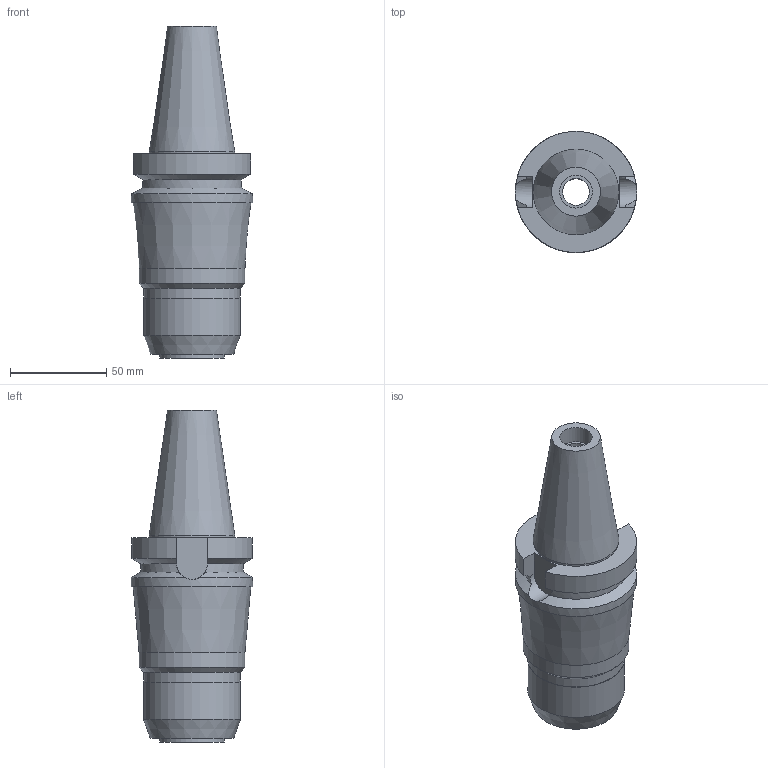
import cadquery as cq
import math


gauge_diameter = 44.45
taper_length = 65.4
taper_ratio = 7 / 24
gauge_radius = gauge_diameter / 2
taper_tip_radius = gauge_radius - taper_length * taper_ratio / 2

flange_radius = 63.0 / 2
flange_top = -1.0
flange_bottom = -26.5
groove_center = -16.6
groove_width = 10.0
groove_floor_radius = 53.4 / 2
groove_flank_angle = 30.0
groove_top = groove_center + groove_width / 2
groove_bottom = groove_center - groove_width / 2
groove_flank_height = (flange_radius - groove_floor_radius) * math.tan(math.radians(groove_flank_angle))

slot_width = 16.1
slot_floor_distance = 22.6
slot_end = -22.6
slot_radius = slot_width / 2

body_top_radius = 61.1 / 2
body_radius = 55.0 / 2
flare_bottom = -60.4
body_bottom = -68.1
shoulder_bottom = -70.8

neck_radius = 49.9 / 2
neck_bottom = -75.9

nose_radius = 50.3 / 2
nose_cone_top = -95.2
nose_tip_radius = 43.4 / 2
end_ring_radius = 33.6 / 2
end_ring_length = 2.0
part_bottom = -107.0
nose_bottom = part_bottom + end_ring_length

bore_diameter = 14.0
counterbore_diameter = 17.0
counterbore_depth = 9.0


def make_turned_body():
    """Revolve the outer profile, drawn from the taper tip down to the end ring."""
    profile = (
        cq.Workplane("YZ")
        .moveTo(0, taper_length)
        .lineTo(taper_tip_radius, taper_length)
        .lineTo(gauge_radius, 0)
        .lineTo(gauge_radius, flange_top)
        .lineTo(flange_radius, flange_top)
        .lineTo(flange_radius, groove_top)
        .lineTo(groove_floor_radius, groove_top - groove_flank_height)
        .lineTo(groove_floor_radius, groove_bottom + groove_flank_height)
        .lineTo(flange_radius, groove_bottom)
        .lineTo(flange_radius, flange_bottom)
        .lineTo(body_top_radius, flange_bottom)
        .lineTo(body_radius, flare_bottom)
        .lineTo(body_radius, body_bottom)
        .lineTo(neck_radius, shoulder_bottom)
        .lineTo(neck_radius, neck_bottom)
        .lineTo(nose_radius, neck_bottom)
        .lineTo(nose_radius, nose_cone_top)
        .lineTo(nose_tip_radius, nose_bottom)
        .lineTo(end_ring_radius, nose_bottom)
        .lineTo(end_ring_radius, part_bottom)
        .lineTo(0, part_bottom)
        .close()
    )
    return profile.revolve(360, (0, 0, 0), (0, 1, 0))


def make_drive_slot(side):
    """Slot cutter on the +X (side = 1) or -X (side = -1) flank, open at the flange top."""
    arc_center = slot_end + slot_radius
    cutter = (
        cq.Workplane("YZ", origin=(side * slot_floor_distance, 0, 0))
        .moveTo(-slot_radius, flange_top)
        .lineTo(-slot_radius, arc_center)
        .threePointArc((0, slot_end), (slot_radius, arc_center))
        .lineTo(slot_radius, flange_top)
        .close()
    )
    return cutter.extrude(side * flange_radius)


def make_bore():
    """Through bore with a wider counterbore at the taper tip."""
    bore = (
        cq.Workplane("XY", origin=(0, 0, part_bottom))
        .circle(bore_diameter / 2)
        .extrude(taper_length - part_bottom)
    )
    counterbore = (
        cq.Workplane("XY", origin=(0, 0, taper_length - counterbore_depth))
        .circle(counterbore_diameter / 2)
        .extrude(counterbore_depth)
    )
    return bore.union(counterbore)


result = make_turned_body().cut(make_bore())
for side in (-1, 1):
    result = result.cut(make_drive_slot(side))